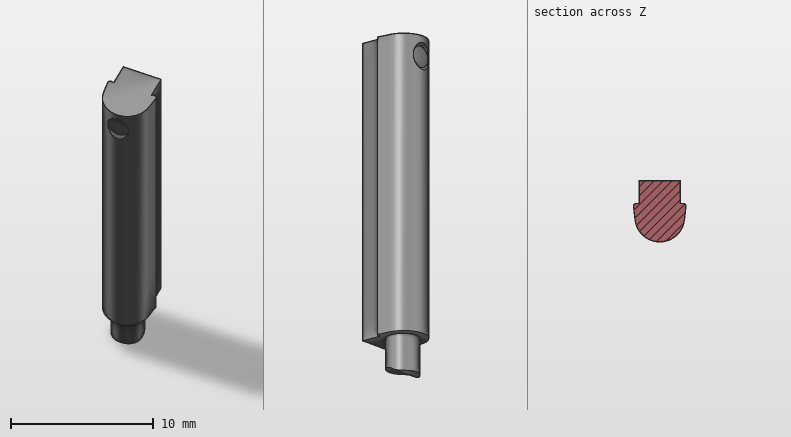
import math

import cadquery as cq

overall_width = 3.7
overall_depth = 4.3
overall_length = 24.73
body_length = 22.0
pin_length = overall_length - body_length

nose_radius = 1.75
side_draft = math.radians(7.0)
tongue_width = 2.9
tongue_depth = 1.6
shoulder_radius = 0.2

pin_diameter = 2.4
pin_axis_to_nose = 1.85
pin_end_step = 0.48
step_run = 1.7
step_middle_y = 0.0

dimple_floor_diameter = 1.57
dimple_mouth_diameter = 2.0
dimple_depth = (dimple_mouth_diameter - dimple_floor_diameter) / 2
dimple_below_top = 1.5

nose_y = -pin_axis_to_nose
back_y = nose_y + overall_depth
shoulder_y = back_y - tongue_depth


def make_body():
    """Extrude the section: tongue, rounded shoulders, drafted sides and round nose."""
    half_tongue = tongue_width / 2
    half_width = overall_width / 2
    nose_center_y = nose_y + nose_radius
    tangent_x = nose_radius * math.cos(side_draft)
    tangent_y = nose_center_y - nose_radius * math.sin(side_draft)
    round_start_x = half_width - shoulder_radius
    round_end_y = shoulder_y - shoulder_radius
    round_mid_x = round_start_x + shoulder_radius * math.sin(math.pi / 4)
    round_mid_y = round_end_y + shoulder_radius * math.cos(math.pi / 4)
    section = (
        cq.Workplane("XY")
        .moveTo(-half_tongue, back_y)
        .lineTo(half_tongue, back_y)
        .lineTo(half_tongue, shoulder_y)
        .lineTo(round_start_x, shoulder_y)
        .threePointArc((round_mid_x, round_mid_y), (half_width, round_end_y))
        .lineTo(tangent_x, tangent_y)
        .threePointArc((0, nose_y), (-tangent_x, tangent_y))
        .lineTo(-half_width, round_end_y)
        .threePointArc((-round_mid_x, round_mid_y), (-round_start_x, shoulder_y))
        .lineTo(-half_tongue, shoulder_y)
        .close()
    )
    return section.extrude(body_length)


def make_pin():
    """Round pin whose end steps up toward the back along a smooth S, lowest just behind its front edge."""
    pin_radius = pin_diameter / 2
    front_z = -pin_length
    back_z = front_z + pin_end_step
    step_front_y = step_middle_y - step_run / 2
    step_back_y = step_middle_y + step_run / 2
    pin = cq.Workplane("XY").circle(pin_radius).extrude(front_z)
    arc_radius = (step_run**2 + pin_end_step**2) / (4 * pin_end_step)
    front_rise = arc_radius - math.sqrt(arc_radius**2 - (pin_radius + step_front_y) ** 2)
    side_profile = (
        cq.Workplane("YZ")
        .moveTo(-pin_radius, front_z + front_rise)
        .threePointArc((step_front_y, front_z), (step_middle_y, front_z + pin_end_step / 2))
        .tangentArcPoint((step_back_y, back_z), relative=False)
        .lineTo(pin_radius, back_z)
        .lineTo(pin_radius, 0)
        .lineTo(-pin_radius, 0)
        .close()
    )
    return pin.intersect(side_profile.extrude(pin_radius, both=True))


def make_dimple():
    """Cone frustum that narrows from the nose surface to a flat floor."""
    return cq.Workplane(
        cq.Solid.makeCone(
            dimple_mouth_diameter / 2,
            dimple_floor_diameter / 2,
            dimple_depth,
            pnt=cq.Vector(0, nose_y, body_length - dimple_below_top),
            dir=cq.Vector(0, 1, 0),
        )
    )


result = make_body().union(make_pin()).cut(make_dimple())